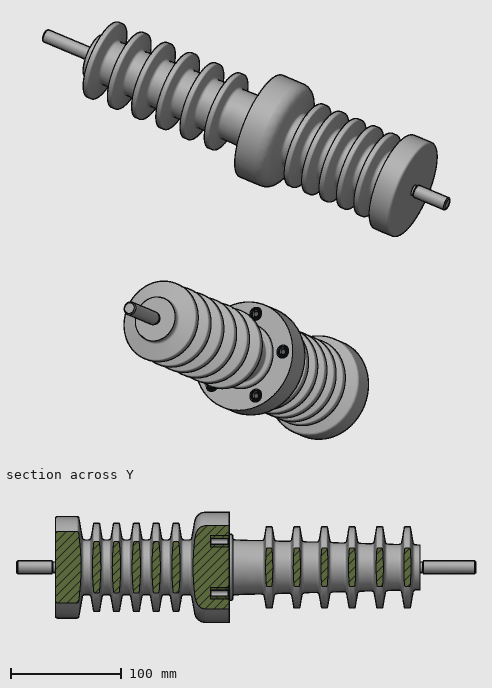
import cadquery as cq
import math

tolerance = 0.0005

total_length = 415.0
housing_start = 50.2
housing_end = 380.0
core_diameter = 50.0
core_start_diameter = 40.5
cone_end_diameter = 50.2

rod_diameter = 12.0
rod_core_diameter = 10.0
rod_chamfer = (rod_diameter - rod_core_diameter) / 2
rod_neck = 2.0

tapered_shed_diameter = 74.0
tapered_shed_first = 62.0
tapered_shed_last = 186.8
tapered_shed_count = 6
tapered_shed_pitch = (tapered_shed_last - tapered_shed_first) / (tapered_shed_count - 1)
straight_shed_diameter = 80.0
straight_shed_first = 271.0
straight_shed_last = 342.8
straight_shed_count = 5
straight_shed_pitch = (straight_shed_last - straight_shed_first) / (straight_shed_count - 1)
shed_tip_width = 5.5
shed_flank_angle = 10.0
shed_tip_fillet = 1.2
root_fillet = 2.0

flange_diameter = 100.0
flange_start = 223.0
flange_rim_end = 252.7
flange_fillet = 10.0
collar_diameter = 60.0
collar_length = 3.5
collar_fillet = 2.0
collar_root_fillet = 1.2

cap_diameter = 92.0
cap_rim_start = 359.0
cap_rim_fillet = 2.0

insert_count = 5
insert_circle_radius = 40.0
insert_diameter = 10.0
socket_mouth_diameter = 12.0
insert_bore_diameter = 5.0
insert_mouth_diameter = 7.0
insert_nose_diameter = 9.0
insert_length = 16.5

flank_slope = math.tan(math.radians(shed_flank_angle))


def turned(points):
    """Turn a closed (x, radius) outline about the X axis."""
    return cq.Workplane("XY").polyline(points).close().revolve(360, (0, 0, 0), (1, 0, 0))


def cylinder(start, end, diameter):
    return cq.Workplane("YZ", origin=(start, 0, 0)).circle(diameter / 2).extrude(end - start)


def circles_of(diameter):
    """Edge filter: full circles of the given diameter around the X axis."""
    return lambda edge: edge.geomType() == "CIRCLE" and abs(edge.radius() - diameter / 2) < tolerance


def shed(center, diameter):
    outer = diameter / 2
    tip = shed_tip_width / 2
    base = tip + flank_slope * outer
    disc = turned([
        (center - base, 0), (center - tip, outer), (center + tip, outer), (center + base, 0),
    ])
    return disc.edges().filter(circles_of(diameter)).fillet(shed_tip_fillet)


def flange():
    radius = flange_diameter / 2
    disc = turned([
        (flange_start, 0), (flange_start, radius), (flange_rim_end, radius),
        (flange_rim_end + flank_slope * radius, 0),
    ])
    back_rim = disc.edges().filter(circles_of(flange_diameter)).edges(">X")
    return back_rim.fillet(flange_fillet)


def collar():
    start = flange_start - collar_length
    return cylinder(start, flange_start, collar_diameter).edges("<X").fillet(collar_fillet)


def cap():
    radius = cap_diameter / 2
    disc = turned([
        (cap_rim_start - flank_slope * radius, 0), (cap_rim_start, radius),
        (housing_end, radius), (housing_end, 0),
    ])
    return disc.edges().filter(circles_of(cap_diameter)).fillet(cap_rim_fillet)


def core():
    """Cone up to the flange, then a plain cylinder to the end cap."""
    return turned([
        (housing_start, 0), (housing_start, core_start_diameter / 2),
        (flange_start, cone_end_diameter / 2), (flange_start, core_diameter / 2),
        (housing_end, core_diameter / 2), (housing_end, 0),
    ])


def is_root(edge):
    """Circles where sheds, collar, flange and cap rise from the core."""
    if edge.geomType() != "CIRCLE" or not housing_start < edge.Center().x < housing_end:
        return False
    return core_start_diameter / 2 < edge.radius() < cone_end_diameter / 2


def is_collar_root(edge):
    collar_start = flange_start - collar_length
    return is_root(edge) and abs(edge.Center().x - collar_start) < tolerance


def is_other_root(edge):
    return is_root(edge) and not is_collar_root(edge)


def insert_places():
    for index in range(insert_count):
        angle = 2 * math.pi * index / insert_count
        yield -insert_circle_radius * math.cos(angle), insert_circle_radius * math.sin(angle)


def make_rod():
    near_end = cylinder(0, housing_start - rod_neck, rod_diameter).edges().chamfer(rod_chamfer)
    far_end = cylinder(housing_end + rod_neck, total_length, rod_diameter).edges().chamfer(rod_chamfer)
    return cylinder(0, total_length, rod_core_diameter).union(near_end).union(far_end)


def insert_socket():
    """Hole for one insert, with a 45 degree countersink."""
    hole_radius = insert_diameter / 2
    mouth_radius = socket_mouth_diameter / 2
    bottom = flange_start + insert_length
    return turned([
        (flange_start, 0), (flange_start, mouth_radius),
        (flange_start + mouth_radius - hole_radius, hole_radius), (bottom, hole_radius), (bottom, 0),
    ])


def make_insert(y, z):
    end = flange_start + insert_length
    nose_chamfer = (insert_diameter - insert_nose_diameter) / 2
    blank = cylinder(flange_start, end, insert_diameter).faces("<X").chamfer(nose_chamfer)
    mouth_chamfer = (insert_mouth_diameter - insert_bore_diameter) / 2
    sleeve = blank.cut(cylinder(flange_start, end, insert_bore_diameter))
    sleeve = sleeve.faces("<X").edges().filter(circles_of(insert_bore_diameter)).chamfer(mouth_chamfer)
    return sleeve.translate((0, y, z))


def make_housing():
    body = core().union(flange()).union(cap()).union(collar())
    for index in range(tapered_shed_count):
        body = body.union(shed(tapered_shed_first + index * tapered_shed_pitch, tapered_shed_diameter))
    for index in range(straight_shed_count):
        body = body.union(shed(straight_shed_first + index * straight_shed_pitch, straight_shed_diameter))
    body = body.edges().filter(is_other_root).fillet(root_fillet)
    body = body.edges().filter(is_collar_root).fillet(collar_root_fillet)
    body = body.cut(cylinder(housing_start, housing_end, rod_core_diameter))
    socket = insert_socket()
    for y, z in insert_places():
        body = body.cut(socket.translate((0, y, z)))
    return body


housing = make_housing()
rod = make_rod()
inserts = [make_insert(y, z).val() for y, z in insert_places()]

result = cq.Compound.makeCompound([housing.val(), rod.val(), *inserts])